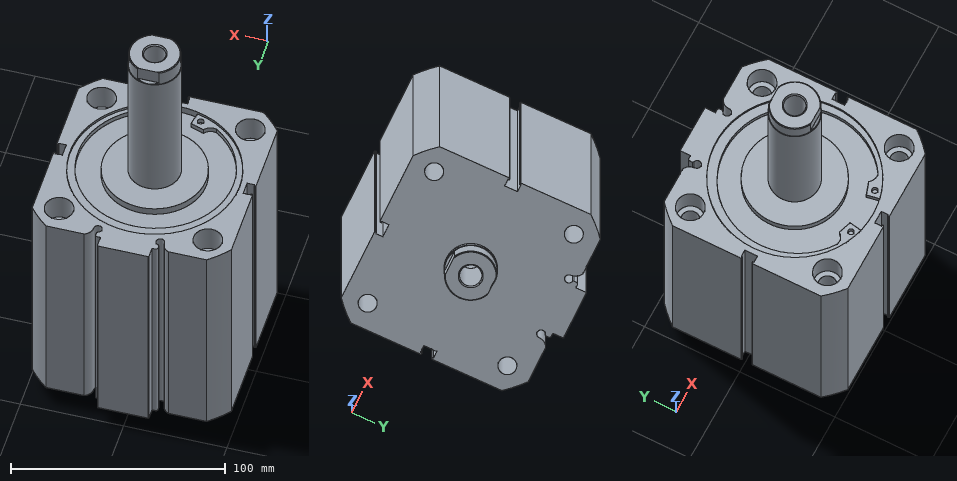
import cadquery as cq
import math

body_width = 96.5
body_height = 112.0
corner_radius = 62.0
half_width = body_width / 2

rail_width = 25.0
rail_height = 5.5
rail_chamfer = 0.3
groove_x = 15.1
groove_y = 43.4
groove_radius = 2.0
lip_bottom_y = 45.9
lip_fillet = 1.1
flare_radius = 5.25

slot_width = 6.6
slot_opening = 5.2
slot_depth = 4.5
slot_lip = 0.9
slot_chamfer = 0.4

mount_pitch = 72.0
mount_hole_diameter = 8.8
counterbore_diameter = 13.8
counterbore_depth = 13.5

cover_diameter = 82.0
flange_thickness = 10.0
boss_diameter = 50.0
boss_height = 3.8
cover_radius = cover_diameter / 2
flange_top = body_height - boss_height
flange_bottom = flange_top - flange_thickness

ring_thickness = 2.5
ring_inner_radius = 37.6
ring_inner_shift = 1.6
ring_gap_width = 18.5
ear_inner_corner = (8.05, -33.3)
ear_peak = (14.7, -31.1)
ear_blend_middle = (17.1, -33.0)
ear_blend_end_x = 20.5
ear_hole_diameter = 3.0
ear_hole_x = 12.0
ear_hole_y = -35.8

rod_diameter = 25.0
rod_above = 80.0
rod_below = 10.0
tip_diameter = 24.4
tip_length = 8.0
tip_chamfer = 0.4
flats_width = 22.0
flat_length = 7.0
foot_rim = 0.05
thread_diameter = 10.4
thread_depth = 25.0
thread_chamfer = 0.6
drill_point_angle = 118.0
tip_radius = tip_diameter / 2
rod_radius = rod_diameter / 2
rod_top = body_height + rod_above
rod_bottom = -rod_below


def t_slot(angle):
    """T-slot cutter for the -Y face, turned about Z by the given angle."""
    half_opening = slot_opening / 2
    half_slot = slot_width / 2
    face_y = -half_width
    right_half = [
        (half_opening + slot_chamfer, face_y),
        (half_opening, face_y + slot_chamfer),
        (half_opening, face_y + slot_lip),
        (half_slot, face_y + slot_lip),
        (half_slot, face_y + slot_depth),
    ]
    left_half = [(-x, y) for x, y in reversed(right_half)]
    cutter = cq.Workplane("XY").polyline(right_half + left_half).close().extrude(body_height)
    return cutter.rotate((0, 0, 0), (0, 0, 1), angle)


def sensor_groove():
    """Cutter for the groove on the -X side of the rail."""
    wall_x = -groove_x - groove_radius
    flare_angle = math.asin((half_width - groove_y) / flare_radius)

    def flare_point(angle):
        return (
            wall_x - flare_radius * (1 - math.cos(angle)),
            groove_y + flare_radius * math.sin(angle),
        )

    fillet_offset = lip_fillet * (1 - math.sqrt(0.5))
    throat = (
        cq.Workplane("XY")
        .moveTo(*flare_point(flare_angle))
        .threePointArc(flare_point(flare_angle / 2), (wall_x, groove_y))
        .lineTo(-groove_x + groove_radius, groove_y)
        .lineTo(-groove_x, lip_bottom_y)
        .lineTo(-groove_x, half_width - lip_fillet)
        .threePointArc(
            (-groove_x + fillet_offset, half_width - fillet_offset),
            (-groove_x + lip_fillet, half_width),
        )
        .close()
        .extrude(body_height)
    )
    bottom = cq.Workplane("XY").center(-groove_x, groove_y).circle(groove_radius).extrude(body_height)
    return throat.union(bottom)


def make_rail():
    """Rail rooted inside the housing, so that it joins the +Y face."""
    root_depth = 1.0
    rail = cq.Workplane("XY").box(
        rail_width, rail_height + root_depth, body_height, centered=(True, False, False)
    )
    rail = rail.faces(">Y").edges("|Z").chamfer(rail_chamfer)
    return rail.translate((0, half_width - root_depth, 0))


def make_housing():
    corners = cq.Workplane("XY").circle(corner_radius).extrude(body_height)
    housing = cq.Workplane("XY").rect(body_width, body_width).extrude(body_height).intersect(corners)
    housing = housing.union(make_rail())

    groove = sensor_groove()
    housing = housing.cut(groove).cut(groove.mirror("YZ"))
    for angle in (-90, 0, 90):
        housing = housing.cut(t_slot(angle))

    housing = (
        housing.faces(">Z").workplane(origin=(0, 0, 0))
        .rect(mount_pitch, mount_pitch, forConstruction=True).vertices()
        .cboreHole(mount_hole_diameter, counterbore_diameter, counterbore_depth)
    )
    return (
        housing.faces(">Z").workplane(origin=(0, 0, 0))
        .cboreHole(rod_diameter, cover_diameter, body_height - flange_bottom)
    )


def make_cover():
    return (
        cq.Workplane("XY").workplane(offset=flange_bottom)
        .circle(cover_radius).extrude(flange_thickness)
        .faces(">Z").workplane().circle(boss_diameter / 2).extrude(boss_height)
        .faces(">Z").workplane().hole(rod_diameter)
    )


def mirrored(point):
    """The same point on the other side of the YZ plane."""
    return (-point[0], point[1])


def make_snap_ring():
    gap_x = ring_gap_width / 2
    gap_corner = (gap_x, -math.sqrt(cover_radius**2 - gap_x**2))
    blend_drop = math.sqrt(ring_inner_radius**2 - ear_blend_end_x**2)
    blend_end = (ear_blend_end_x, -ring_inner_shift - blend_drop)
    ring = (
        cq.Workplane("XY").workplane(offset=flange_top)
        .moveTo(*gap_corner)
        .threePointArc((0, cover_radius), mirrored(gap_corner))
        .lineTo(*mirrored(ear_inner_corner))
        .lineTo(*mirrored(ear_peak))
        .threePointArc(mirrored(ear_blend_middle), mirrored(blend_end))
        .threePointArc((0, ring_inner_radius - ring_inner_shift), blend_end)
        .threePointArc(ear_blend_middle, ear_peak)
        .lineTo(*ear_inner_corner)
        .close()
        .extrude(ring_thickness)
    )
    ear_holes = [(-ear_hole_x, ear_hole_y), (ear_hole_x, ear_hole_y)]
    return ring.faces(">Z").workplane(origin=(0, 0, 0)).pushPoints(ear_holes).hole(ear_hole_diameter)


def flat_cutter():
    """Cutter for the -Y wrench flat of a tip that starts at Z = 0 and points up."""
    flat_y = -flats_width / 2
    outer_y = -rod_radius
    flat_foot = tip_length - flat_length
    slope = (flat_foot - foot_rim) / (tip_radius + flat_y)
    return (
        cq.Workplane("YZ")
        .moveTo(flat_y, tip_length)
        .lineTo(flat_y, flat_foot)
        .lineTo(outer_y, flat_foot + slope * (outer_y - flat_y))
        .lineTo(outer_y, tip_length)
        .close()
        .extrude(rod_radius, both=True)
    )


def thread_hole():
    """Chamfered blind hole with a drill point, opening at the end of the tip."""
    hole_radius = thread_diameter / 2
    point_depth = hole_radius / math.tan(math.radians(drill_point_angle / 2))
    return (
        cq.Workplane("XZ")
        .moveTo(0, tip_length)
        .lineTo(hole_radius + thread_chamfer, tip_length)
        .lineTo(hole_radius, tip_length - thread_chamfer)
        .lineTo(hole_radius, tip_length - thread_depth)
        .lineTo(0, tip_length - thread_depth - point_depth)
        .close()
        .revolve(360, (0, 0), (0, 1))
    )


def at_top(tip_shape):
    """Move a shape built on a tip's base to the top end of the rod."""
    return tip_shape.translate((0, 0, rod_top - tip_length))


def at_bottom(tip_shape):
    """Turn a shape built on a tip's base over and move it to the bottom end of the rod."""
    return tip_shape.mirror("XY").translate((0, 0, rod_bottom + tip_length))


def make_tip():
    tip = cq.Workplane("XY").circle(tip_radius).extrude(tip_length).faces(">Z").chamfer(tip_chamfer)
    flat = flat_cutter()
    return tip.cut(flat).cut(flat.mirror("XZ"))


def make_rod():
    shank_length = rod_top - rod_bottom - 2 * tip_length
    shank_base = cq.Workplane("XY").workplane(offset=rod_bottom + tip_length)
    rod = shank_base.circle(rod_radius).extrude(shank_length)
    tip = make_tip()
    hole = thread_hole()
    for place in (at_top, at_bottom):
        rod = rod.union(place(tip)).cut(place(hole))
    return rod


housing = make_housing()
cover = make_cover()
snap_ring = make_snap_ring()
rod = make_rod()

result = cq.Compound.makeCompound([housing.val(), cover.val(), snap_ring.val(), rod.val()])